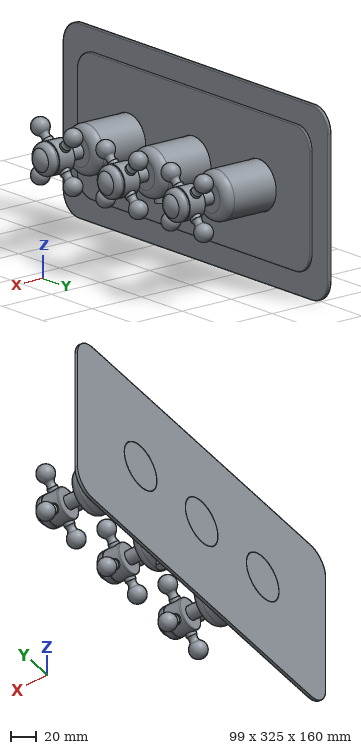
import cadquery as cq
import math

plate_length = 325.0
plate_height = 160.0
base_thickness = 3.0
panel_inset = 19.8
panel_thickness = 2.1
plate_corner_radius = 19.8
panel_corner_radius = 18.0
plate_edge_round = 0.5

valve_pitch = 80.0
valve_offsets = (-valve_pitch, 0.0, valve_pitch)

barrel_radius = 21.0
barrel_end = 55.2
barrel_round = 8.0
barrel_clearance = 0.3
stem_radius = 6.2

hub_start = 70.5
hub_end = 86.5
hub_radius = 14.0
hub_edge_round = 0.5
cap_straight_end = 88.5
cap_shoulder_radius = 6.2
crown_start = 94.2
tip = 99.0

arm_count = 4
arm_first_angle = 45.0
arm_x = 77.7
boss_radius = 4.5
boss_end = 16.2
neck_end_radius = 4.5
neck_hollow = 1.0
ball_radius = 7.8
ball_center = 28.3

pin_x = 39.5
pin_radius = 4.0
pin_reach = 26.0


def make_plate():
    """Base slab and raised panel, with a clearance hole for each valve barrel."""
    base = (
        cq.Workplane("YZ")
        .rect(plate_length, plate_height)
        .extrude(base_thickness)
        .edges("|X")
        .fillet(plate_corner_radius)
        .faces(">X")
        .edges()
        .fillet(plate_edge_round)
    )
    panel = (
        cq.Workplane("YZ", origin=(base_thickness, 0, 0))
        .rect(plate_length - 2 * panel_inset, plate_height - 2 * panel_inset)
        .extrude(panel_thickness)
        .edges("|X")
        .fillet(panel_corner_radius)
        .faces(">X")
        .edges()
        .fillet(plate_edge_round)
    )
    holes = (
        cq.Workplane("YZ")
        .pushPoints([(offset, 0) for offset in valve_offsets])
        .circle(barrel_radius + barrel_clearance)
        .extrude(base_thickness + panel_thickness)
    )
    return base.union(panel).cut(holes)


def make_spindle():
    """Barrel, stem, hub and domed cap as one revolved profile about the X axis."""
    diagonal = math.sqrt(0.5)
    barrel_mid = (
        barrel_end - barrel_round * (1 - diagonal),
        barrel_radius - barrel_round * (1 - diagonal),
    )
    hub_round_inset = hub_edge_round * (1 - diagonal)
    shoulder_angle = math.asin((crown_start - cap_straight_end) / cap_shoulder_radius)
    shoulder_axis = hub_radius - cap_shoulder_radius
    shoulder_mid = (
        cap_straight_end + cap_shoulder_radius * math.sin(shoulder_angle / 2),
        shoulder_axis + cap_shoulder_radius * math.cos(shoulder_angle / 2),
    )
    crown_radius = shoulder_axis + cap_shoulder_radius * math.cos(shoulder_angle)
    crown_height = tip - crown_start
    crown_sphere = (crown_height**2 + crown_radius**2) / (2 * crown_height)
    crown_half_angle = math.asin(crown_radius / crown_sphere) / 2
    crown_mid = (
        tip - crown_sphere * (1 - math.cos(crown_half_angle)),
        crown_sphere * math.sin(crown_half_angle),
    )
    profile = (
        cq.Workplane("XY")
        .moveTo(0, 0)
        .lineTo(0, barrel_radius)
        .lineTo(barrel_end - barrel_round, barrel_radius)
        .threePointArc(barrel_mid, (barrel_end, barrel_radius - barrel_round))
        .lineTo(barrel_end, stem_radius)
        .lineTo(hub_start, stem_radius)
        .lineTo(hub_start, hub_radius - hub_edge_round)
        .threePointArc(
            (hub_start + hub_round_inset, hub_radius - hub_round_inset),
            (hub_start + hub_edge_round, hub_radius),
        )
        .lineTo(hub_end - hub_edge_round, hub_radius)
        .threePointArc(
            (hub_end - hub_round_inset, hub_radius - hub_round_inset),
            (hub_end, hub_radius - hub_edge_round),
        )
        .lineTo(hub_end, hub_radius)
        .lineTo(cap_straight_end, hub_radius)
        .threePointArc(shoulder_mid, (crown_start, crown_radius))
        .threePointArc(crown_mid, (tip, 0))
        .close()
    )
    return profile.revolve(360, (0, 0, 0), (1, 0, 0))


def make_arm():
    """One handle arm along +Z: boss, concave neck and ball."""
    neck_end = ball_center - math.sqrt(ball_radius**2 - neck_end_radius**2)
    neck_mid = (
        (boss_radius + neck_end_radius) / 2 - neck_hollow,
        (boss_end + neck_end) / 2,
    )
    profile = (
        cq.Workplane("XZ")
        .moveTo(0, 0)
        .lineTo(boss_radius, 0)
        .lineTo(boss_radius, boss_end)
        .threePointArc(neck_mid, (neck_end_radius, neck_end))
        .threePointArc((ball_radius, ball_center), (0, ball_center + ball_radius))
        .close()
    )
    return profile.revolve(360, (0, 0, 0), (0, 1, 0)).translate((arm_x, 0, 0))


def make_valve():
    """Spindle with its four cross-handle arms."""
    valve = make_spindle()
    arm = make_arm()
    for index in range(arm_count):
        angle = arm_first_angle + index * 360.0 / arm_count
        valve = valve.union(arm.rotate((0, 0, 0), (1, 0, 0), angle))
    return valve


def add_stop_pin(valve):
    """Join the pin that points down from the barrel."""
    pin = cq.Workplane("XY", origin=(pin_x, 0, 0)).circle(pin_radius).extrude(-pin_reach)
    return valve.union(pin)


plate = make_plate()

valves = []
for offset in valve_offsets:
    valve = make_valve()
    if offset == 0:
        valve = add_stop_pin(valve)
    valves.append(valve.translate((0, offset, 0)).val())

result = cq.Compound.makeCompound([plate.val(), *valves])